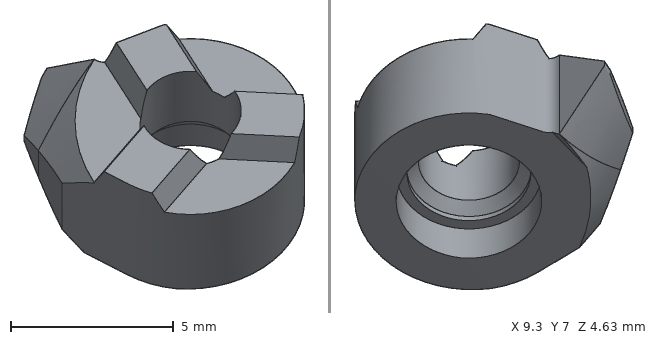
import cadquery as cq
import math

overall_length = 9.3

shoulder_height = 3.61
lug_height = 0.78
top_height = shoulder_height + lug_height
ridge_drop = 0.24
tip_height = (shoulder_height - ridge_drop) / 2
flank_height = shoulder_height - tip_height

body_radius = 7.0 / 2
bore_radius = 1.55
bore_flare_start = 1.98
bore_middle_radius = 1.91
bore_step_height = 1.42
bore_lower_radius = 2.23

lug_angles = [-90, 30, 150]
lug_top_width = 1.69
lug_base_width = 2.455

tip_x = body_radius - overall_length
tip_y = 0.735
land_end = (-5.74, 0.4)
heel = (-4.87, -1.9)
heel_end_x = -2.4
gullet_angle = 60
gullet_start_angle = 137.8
rake_angle = 4.3
gullet_fillet = 0.45

shoulder_circle = (1.44, 1.23, 5.42)
tip_circle = (1.39, 1.73, 7.36)
tip_edge_fillet = 0.11

joint_x = -3.94

relief_start_x = bore_radius
relief_angle = 2.6

pick_margin = 0.09
reach = 4 * body_radius


def box_between(low, high):
    """Box from its lowest corner to its highest corner."""
    size = [b - a for a, b in zip(low, high)]
    return cq.Workplane("XY").box(*size, centered=False).translate(low)


def box_around(x, y):
    """Selector for edges whose middle lies close to a plan position, at any height."""
    low = (x - pick_margin, y - pick_margin, -top_height)
    high = (x + pick_margin, y + pick_margin, 2 * top_height)
    return cq.selectors.BoxSelector(low, high)


def gullet_corner():
    """Point where the rake face line meets the gullet wall line."""
    angle = math.radians(gullet_start_angle)
    start_x = body_radius * math.cos(angle)
    start_y = body_radius * math.sin(angle)
    wall = math.tan(math.radians(gullet_angle))
    rake = -math.tan(math.radians(rake_angle))
    x = (tip_y - start_y + wall * start_x - rake * tip_x) / (wall - rake)
    return (x, tip_y + rake * (x - tip_x)), (start_x, start_y)


def plan_prism():
    """Whole plan outline of hub and tooth, extruded over the full height."""
    corner, gullet_start = gullet_corner()
    prism = (
        cq.Workplane("XY", origin=(0, 0, -ridge_drop))
        .moveTo(tip_x, tip_y)
        .lineTo(*land_end)
        .lineTo(*heel)
        .lineTo(heel_end_x, -body_radius)
        .lineTo(0, -body_radius)
        .threePointArc((body_radius, 0), gullet_start)
        .lineTo(*corner)
        .close()
        .extrude(top_height + ridge_drop)
    )
    return prism.edges(box_around(*corner)).fillet(gullet_fillet)


def flank_cone(direction):
    """Cone from tip height to the far rim; direction is 1 for the upper flank, -1 for the lower."""
    wires = []
    for (x, y, radius), offset in ((tip_circle, 0), (shoulder_circle, flank_height)):
        centre = cq.Vector(x, y, tip_height + direction * offset)
        wires.append(cq.Wire.makeCircle(radius, centre, cq.Vector(0, 0, 1)))
    return cq.Workplane(cq.Solid.makeLoft(wires, True))


def lug(angle):
    """Radial driving lug with sloping sides, as a bar running outward from the axis."""
    length = 2 * body_radius
    return (
        cq.Workplane("YZ")
        .polyline([
            (-lug_base_width / 2, shoulder_height),
            (lug_base_width / 2, shoulder_height),
            (lug_top_width / 2, top_height),
            (-lug_top_width / 2, top_height),
        ])
        .close()
        .extrude(length)
        .rotate((0, 0, 0), (0, 0, 1), angle)
    )


def bore():
    """Through bore that flares and then steps out towards the underside."""
    flare_depth = bore_middle_radius - bore_radius
    return (
        cq.Workplane("XZ")
        .moveTo(0, -top_height)
        .lineTo(bore_lower_radius, -top_height)
        .lineTo(bore_lower_radius, bore_step_height)
        .lineTo(bore_middle_radius, bore_step_height)
        .lineTo(bore_middle_radius, bore_flare_start - flare_depth)
        .lineTo(bore_radius, bore_flare_start)
        .lineTo(bore_radius, 2 * top_height)
        .lineTo(0, 2 * top_height)
        .close()
        .revolve()
    )


def underside_trim():
    """Prism below the underside, its front face rising at 45 degrees from the foot of the joint."""
    return (
        cq.Workplane("XZ", origin=(0, 2 * body_radius, 0))
        .moveTo(joint_x, -ridge_drop)
        .lineTo(joint_x + ridge_drop, 0)
        .lineTo(2 * body_radius, 0)
        .lineTo(2 * body_radius, -ridge_drop)
        .close()
        .extrude(4 * body_radius)
    )


def underside_relief():
    """Wedge that slopes the underside up towards +X."""
    run = 2 * body_radius
    return (
        cq.Workplane("XZ", origin=(0, run, 0))
        .moveTo(relief_start_x, 0)
        .lineTo(relief_start_x + run, run * math.tan(math.radians(relief_angle)))
        .lineTo(relief_start_x + run, -ridge_drop)
        .lineTo(relief_start_x, -ridge_drop)
        .close()
        .extrude(2 * run)
    )


def cutter_blank():
    """Hub and tooth together, before they are divided at the joint."""
    prism = plan_prism()
    low_part = prism.intersect(flank_cone(1).union(flank_cone(-1)))
    lugs = cq.Workplane("XY")
    for angle in lug_angles:
        lugs = lugs.add(lug(angle))
    raised = lugs.combine().intersect(prism)
    return low_part.union(raised).cut(bore()).cut(underside_relief())


def build_body(blank):
    half = box_between((joint_x, -reach, -reach), (reach, reach, reach))
    return blank.intersect(half).cut(underside_trim())


def build_tip(blank):
    half = box_between((-reach, -reach, -reach), (joint_x, reach, reach))
    tip = blank.intersect(half)
    near_land = box_around((tip_x + land_end[0]) / 2, (tip_y + land_end[1]) / 2)
    long_edges = tip.edges(near_land).edges("not(|Z)")
    return long_edges.fillet(tip_edge_fillet)


blank = cutter_blank()
body = build_body(blank)
cutting_tip = build_tip(blank)
result = cq.Compound.makeCompound([body.val(), cutting_tip.val()])